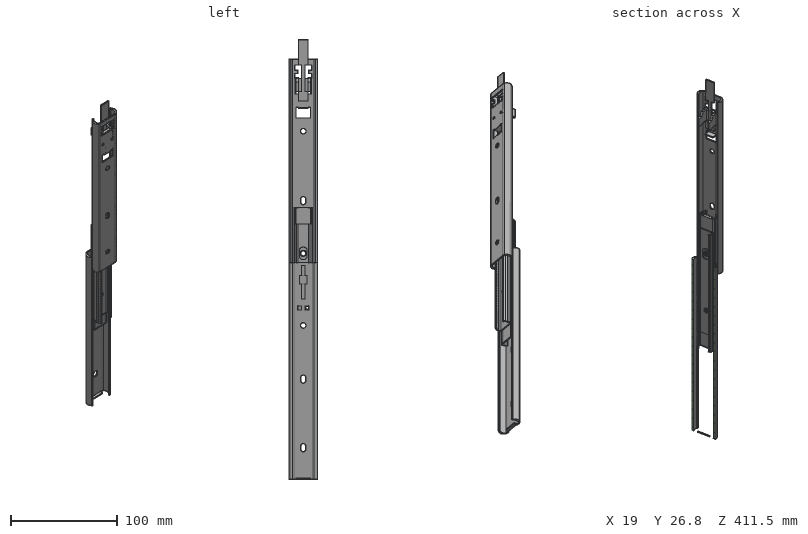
import cadquery as cq
import math


rail_length = 203.0
rail_depth = 9.5
rail_sheet = 1.2
curl_sheet = 2.0
slide_width = 26.8
lip_half_gap = 10.0
rim_width = 1.0
web_end_width = 13.0
web_end_bevel = 1.2
end_stop_reach = 2.5
upper_rail_bottom = 190.5
web_inner_x = rail_depth - rail_sheet
curl_radius = rail_depth / 2
curl_center_y = slide_width / 2 - curl_radius
rim_y = curl_center_y + math.sqrt(curl_radius**2 - (curl_radius - rim_width) ** 2)

hole_diameter = 5.0
slot_width = 4.5
slot_length = 7.5
lower_hole_z = 144.0
lower_slot_zs = [29.5, 94.0]
upper_hole_z = 326.0
upper_access_hole_z = 211.5
upper_slot_z = 261.0

square_size = 3.5
square_y = 3.5
square_z = 160.5
sight_hole_size = 2.5

leaf_bottom = 168.8
leaf_pad_bottom = 182.8
leaf_pad_top = 191.0
leaf_top = 200.0
leaf_half_width = 1.5
leaf_pad_half_width = 3.3
leaf_bow = 1.5

window_bottom = 338.5
window_height = 10.0
window_width = 13.0
ledge_width = 9.0
ledge_reach = 5.0
slot_wide = 15.5
slot_narrow = 10.0
lever_slot_bottom = 375.5
lever_slot_top = 387.7
lever_slot_step = 4.5
guide_bottom = 360.5
guide_reach = 3.3
guide_outer_y = slot_wide / 2

channel_joint_x = -1.03
channel_reach = 7.2
channel_length = 138.7
right_channel_bottom = 115.5
left_channel_bottom = 100.5
channel_sheet = 1.03
channel_half_width = 8.5
channel_web_half_width = 6.5
channel_bend_depth = 1.0
channel_step_from_lip = 3.5
channel_step = 0.6
channel_lip_bevel = 1.5
channel_lip_y = 5.15
end_tab_reach = 2.0
end_tab_half_width = 5.0

rivet_z = upper_access_hole_z
rivet_head_width = 7.5
rivet_head_length = 12.0
rivet_shank_diameter = 5.8
rivet_bore = 4.5
rivet_head_height = 1.0

slide_top = 411.5
lever_x = 4.32
lever_sheet = 1.2
lever_half_width = 4.5
neck_half_width = 1.5
neck_top = lever_slot_top
lever_plate_top = 375.5
lever_plate_bottom = 363.0
lever_bottom = 354.5
fin_outer_y = guide_outer_y - rail_sheet
fin_x = -7.0
fin_top = 372.0
fin_ramp_x = -2.5
fin_root_x = 0.0
fin_root_top = 376.0
notch_height = 2.0


def box(x0, x1, y0, y1, z0, z1):
    """Box between two opposite corners."""
    return cq.Workplane("XY").box(x1 - x0, y1 - y0, z1 - z0, centered=False).translate((x0, y0, z0))


def cross_hole(diameter, z):
    """Round cutter along X through the whole slide."""
    cutter = cq.Workplane("YZ").circle(diameter / 2).extrude(2 * rail_depth)
    return cutter.translate((-rail_depth, 0, z))


def cross_slot(z):
    """Upright slot cutter along X through the whole slide."""
    cutter = cq.Workplane("YZ").slot2D(slot_length, slot_width, 90).extrude(2 * rail_depth)
    return cutter.translate((-rail_depth, 0, z))


def square_hole(size, y):
    """Square cutter along X through the whole slide."""
    half = size / 2
    return box(-rail_depth, rail_depth, y - half, y + half, square_z - half, square_z + half)


def rail_blank(bottom):
    """Web panel at +X whose long sides curl round to inturned lips beside X = 0."""
    crown_y = slide_width / 2
    half = (
        cq.Workplane("XY")
        .moveTo(rail_depth, 0)
        .lineTo(rail_depth, curl_center_y)
        .threePointArc((curl_radius, crown_y), (rim_width, rim_y))
        .lineTo(0, rim_y)
        .lineTo(0, lip_half_gap)
        .lineTo(rail_sheet, lip_half_gap)
        .lineTo(rail_sheet, rim_y - rim_width)
        .threePointArc((curl_radius, crown_y - curl_sheet), (web_inner_x, lip_half_gap))
        .lineTo(web_inner_x, 0)
        .close()
        .extrude(rail_length)
    )
    return half.union(half.mirror("XZ")).clean().translate((0, 0, bottom))


def leaf_outline():
    """Dart shape, extruded along X through the lower rail: narrow ends and a wide pad."""
    ends = box(-rail_depth, 0, -leaf_half_width, leaf_half_width, leaf_bottom, leaf_top)
    pad = box(-rail_depth, 0, -leaf_pad_half_width, leaf_pad_half_width, leaf_pad_bottom, leaf_pad_top)
    return ends.union(pad)


def make_lower_rail():
    """Rail opening to +X with holes, square windows, the leaf spring opening and an end stop."""
    rail = rail_blank(0).mirror("YZ")
    rail = rail.cut(cross_hole(hole_diameter, lower_hole_z))
    for z in lower_slot_zs:
        rail = rail.cut(cross_slot(z))
    for side in (-1, 1):
        rail = rail.cut(square_hole(square_size, side * square_y))
    bevel = (
        cq.Workplane("XZ")
        .moveTo(-rail_depth, 0)
        .lineTo(-rail_depth + web_end_bevel, 0)
        .lineTo(-rail_depth, web_end_bevel)
        .close()
        .extrude(web_end_width / 2, both=True)
    )
    end_stop = box(
        -web_inner_x, -web_inner_x + end_stop_reach,
        -web_end_width / 2, web_end_width / 2,
        0, rail_sheet,
    )
    return rail.union(end_stop).cut(bevel).cut(leaf_outline())


def make_leaf_spring():
    """Leaf flush with the web at both ends, its pad bowed inward."""
    outer_x = -rail_depth
    pad_x = outer_x + leaf_bow
    bow = (
        cq.Workplane("XZ")
        .moveTo(outer_x, leaf_bottom)
        .lineTo(pad_x, leaf_pad_bottom)
        .lineTo(pad_x, leaf_pad_top)
        .lineTo(outer_x, leaf_top)
        .lineTo(outer_x + rail_sheet, leaf_top)
        .lineTo(pad_x + rail_sheet, leaf_pad_top)
        .lineTo(pad_x + rail_sheet, leaf_pad_bottom)
        .lineTo(outer_x + rail_sheet, leaf_bottom)
        .close()
        .extrude(leaf_pad_half_width, both=True)
    )
    return bow.intersect(leaf_outline())


def make_upper_rail():
    """Rail opening to -X with holes, a window and the opening for the release lever."""
    rail = rail_blank(upper_rail_bottom)
    for z in (upper_hole_z, upper_access_hole_z):
        rail = rail.cut(cross_hole(hole_diameter, z))
    rail = rail.cut(cross_slot(upper_slot_z))

    window_top = window_bottom + window_height
    rail = rail.cut(box(0, rail_depth, -window_width / 2, window_width / 2, window_bottom, window_top))
    ledge_x = web_inner_x - ledge_reach
    rail = rail.union(
        box(ledge_x, rail_depth, -ledge_width / 2, ledge_width / 2, window_top - rail_sheet, window_top)
    )

    narrow = slot_narrow / 2
    wide = slot_wide / 2
    rail = rail.cut(box(0, rail_depth, -narrow, narrow, lever_slot_bottom, lever_slot_top))
    lower_end = lever_slot_bottom + lever_slot_step
    upper_end = lever_slot_top - lever_slot_step
    rail = rail.cut(box(0, rail_depth, -wide, wide, lever_slot_bottom, lower_end))
    rail = rail.cut(box(0, rail_depth, -wide, wide, upper_end, lever_slot_top))

    for side in (-1, 1):
        guide = box(
            web_inner_x - guide_reach, web_inner_x,
            guide_outer_y - rail_sheet, guide_outer_y,
            guide_bottom, lever_slot_bottom,
        )
        notch = box(
            0, rail_depth,
            lever_half_width, fin_outer_y,
            lever_plate_bottom - notch_height, lever_plate_bottom,
        )
        if side < 0:
            guide = guide.mirror("XZ")
            notch = notch.mirror("XZ")
        rail = rail.union(guide).cut(notch)
    return rail


def channel_blank(depth, bottom):
    """Channel with its web on X = 0, opening to +X; stepped flanges end in inturned lips."""
    sheet = channel_sheet
    wide_y = channel_half_width
    narrow_y = wide_y - channel_step
    step_x = depth - channel_step_from_lip
    inner_bend_y = channel_web_half_width - sheet / 2
    half = [
        (0, channel_web_half_width),
        (channel_bend_depth, wide_y),
        (step_x, wide_y),
        (step_x, narrow_y),
        (depth - channel_lip_bevel, narrow_y),
        (depth, narrow_y - channel_lip_bevel),
        (depth, channel_lip_y),
        (depth - sheet, channel_lip_y),
        (depth - sheet, narrow_y - channel_lip_bevel - sheet / 2),
        (depth - channel_lip_bevel - sheet / 2, narrow_y - sheet),
        (step_x - sheet, narrow_y - sheet),
        (step_x - sheet, wide_y - sheet),
        (channel_bend_depth + sheet / 2, wide_y - sheet),
        (sheet, inner_bend_y),
    ]
    other_half = [(x, -y) for x, y in reversed(half)]
    blank = cq.Workplane("XY").polyline(half + other_half).close()
    return blank.extrude(channel_length).translate((0, 0, bottom))


def with_channel_holes(channel):
    """Cut the rivet hole and the holes in line with those of the lower rail."""
    channel = channel.cut(cross_hole(rivet_shank_diameter, rivet_z))
    channel = channel.cut(cross_hole(hole_diameter, lower_hole_z))
    return channel.cut(square_hole(sight_hole_size, -square_y))


def make_right_channel():
    """Channel opening to +X with a bent tab at the top of its web."""
    channel = channel_blank(channel_reach - channel_joint_x, right_channel_bottom)
    channel = channel.translate((channel_joint_x, 0, 0))
    top = right_channel_bottom + channel_length
    tab = box(
        channel_joint_x, channel_joint_x + channel_sheet + end_tab_reach,
        -end_tab_half_width, end_tab_half_width,
        top - channel_sheet, top,
    )
    return with_channel_holes(channel.union(tab))


def make_left_channel():
    """Channel opening to -X, lower than the right one."""
    channel = channel_blank(channel_reach + channel_joint_x, left_channel_bottom).mirror("YZ")
    return with_channel_holes(channel.translate((channel_joint_x, 0, 0)))


def make_rivet():
    """Hollow rivet with an oblong head on each side of the two webs."""
    shank = cq.Workplane("YZ").circle(rivet_shank_diameter / 2).extrude(channel_sheet, both=True)
    head = cq.Workplane("YZ").slot2D(rivet_head_length, rivet_head_width, 90).extrude(rivet_head_height)
    rivet = shank.union(head.translate((channel_sheet, 0, 0)))
    rivet = rivet.union(head.translate((-channel_sheet - rivet_head_height, 0, 0)))
    rivet = rivet.translate((channel_joint_x, 0, rivet_z))
    return rivet.cut(cross_hole(rivet_bore, rivet_z))


def make_lever():
    """Thumb tongue and neck ahead of a plate and foot on the web, between two fins reaching to -X."""
    back_x = lever_x + lever_sheet
    tongue = box(lever_x, back_x, -lever_half_width, lever_half_width, neck_top, slide_top)
    neck = box(lever_x, back_x, -neck_half_width, neck_half_width, lever_plate_bottom, neck_top)
    plate = box(back_x, web_inner_x, -lever_half_width, lever_half_width, lever_plate_bottom, lever_plate_top)
    foot = box(lever_x, web_inner_x, -lever_half_width, lever_half_width, lever_bottom, lever_plate_bottom)
    fin = (
        cq.Workplane("XZ", origin=(0, fin_outer_y, 0))
        .moveTo(fin_x, lever_plate_bottom)
        .lineTo(web_inner_x, lever_plate_bottom)
        .lineTo(web_inner_x, fin_root_top)
        .lineTo(fin_root_x, fin_root_top)
        .lineTo(fin_ramp_x, fin_top)
        .lineTo(fin_x, fin_top)
        .close()
        .extrude(fin_outer_y - lever_half_width)
    )
    return tongue.union(neck).union(plate).union(foot).union(fin).union(fin.mirror("XZ"))


lower_rail = make_lower_rail()
leaf_spring = make_leaf_spring()
upper_rail = make_upper_rail()
left_channel = make_left_channel()
right_channel = make_right_channel()
rivet = make_rivet()
lever = make_lever()

result = cq.Compound.makeCompound([
    lower_rail.val(),
    leaf_spring.val(),
    upper_rail.val(),
    left_channel.val(),
    right_channel.val(),
    rivet.val(),
    lever.val(),
])